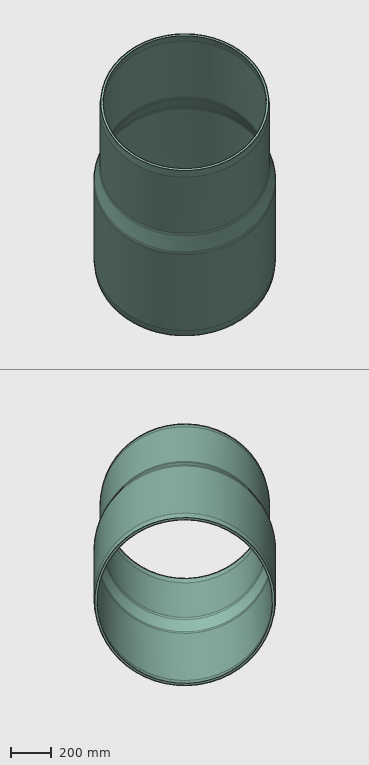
import cadquery as cq
import math

total_height = 1350.0
wall = 12.0
lower_radius = 889.0 / 2
upper_radius = 830.0 / 2
cone_bottom_z = 700.0
cone_top_z = 820.0
lower_bend_radius = 80.0
upper_bend_radius = 80.0
end_taper_height = 50.0
end_taper_angle = math.radians(5.0)

cone_angle = math.atan2(lower_radius - upper_radius, cone_top_z - cone_bottom_z)


def bend_points(corner_radius, corner_z, bend_radius, direction):
    """Return the cylinder end, middle and cone end of a bend arc.

    direction is +1 when the cone lies above the corner, -1 when it lies below.
    The bend is tangent to both the cylinder and the cone.
    """
    setback = bend_radius * math.tan(cone_angle / 2)
    start_z = corner_z - direction * setback

    def point_at(angle):
        inset = bend_radius * (1 - math.cos(angle))
        rise = bend_radius * math.sin(angle)
        return (corner_radius - direction * inset, start_z + direction * rise)

    return point_at(0), point_at(cone_angle / 2), point_at(cone_angle)


def solid_of_revolution(offset):
    """Revolve the filled reducer outline, moved inward by offset.

    Every face moves by offset square to its surface and the bends stay
    concentric, so the wall between two outlines has an even thickness.
    """
    lower = lower_radius - offset
    upper = upper_radius - offset
    taper_height = end_taper_height + offset * math.tan(end_taper_angle / 2)
    taper_inset = taper_height * math.tan(end_taper_angle)
    corner_drop = offset * math.tan(cone_angle / 2)
    lower_start, lower_middle, lower_end = bend_points(
        lower, cone_bottom_z - corner_drop, lower_bend_radius - offset, 1
    )
    upper_end, upper_middle, upper_start = bend_points(
        upper, cone_top_z - corner_drop, upper_bend_radius + offset, -1
    )
    return (
        cq.Workplane("XZ")
        .moveTo(0, 0)
        .lineTo(lower - taper_inset, 0)
        .lineTo(lower, taper_height)
        .lineTo(*lower_start)
        .threePointArc(lower_middle, lower_end)
        .lineTo(*upper_start)
        .threePointArc(upper_middle, upper_end)
        .lineTo(upper, total_height - taper_height)
        .lineTo(upper - taper_inset, total_height)
        .lineTo(0, total_height)
        .close()
        .revolve(360, (0, 0), (0, 1))
    )


outer_body = solid_of_revolution(0)
bore = solid_of_revolution(wall)
result = outer_body.cut(bore)